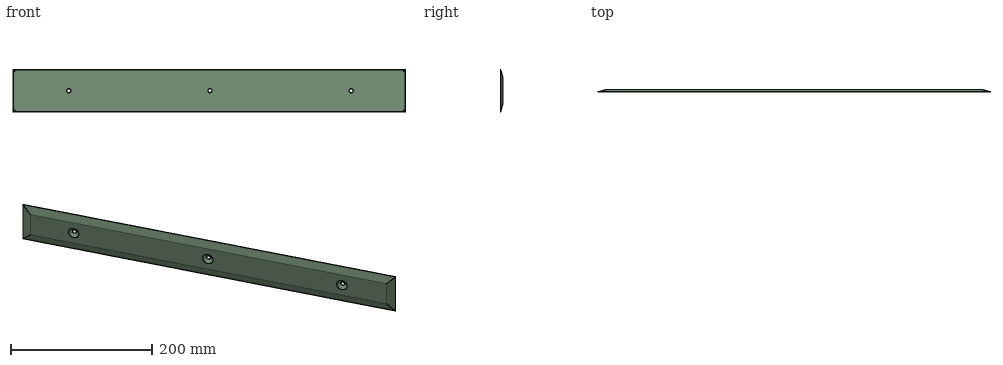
import cadquery as cq

length = 555.0
thickness = 4.0
height = 60.0

rim_thickness = 0.5
bevel_width = 12.0
bevel_depth = thickness - rim_thickness

hole_count = 3
hole_pitch = 200.0
row_offset = 1.0
front_diameter = 5.45
back_diameter = 15.5


def make_plate():
    """Plate with its front face on y = 0 and all four back edges bevelled."""
    rim = cq.Workplane("XZ").rect(length, height).extrude(-rim_thickness)
    bevelled_back = (
        cq.Workplane("XZ", origin=(0, rim_thickness, 0))
        .rect(length, height)
        .workplane(offset=-bevel_depth)
        .rect(length - 2 * bevel_width, height - 2 * bevel_width)
        .loft(ruled=True)
    )
    return rim.union(bevelled_back)


def make_hole_cutter(x):
    """Cone through the full thickness along Y, centred at x on the middle line."""
    cone = cq.Solid.makeCone(
        front_diameter / 2,
        back_diameter / 2,
        thickness,
        pnt=cq.Vector(x, 0, 0),
        dir=cq.Vector(0, 1, 0),
    )
    return cq.Workplane(obj=cone)


result = make_plate()
for index in range(hole_count):
    hole_x = row_offset + (index - (hole_count - 1) / 2) * hole_pitch
    result = result.cut(make_hole_cutter(hole_x))